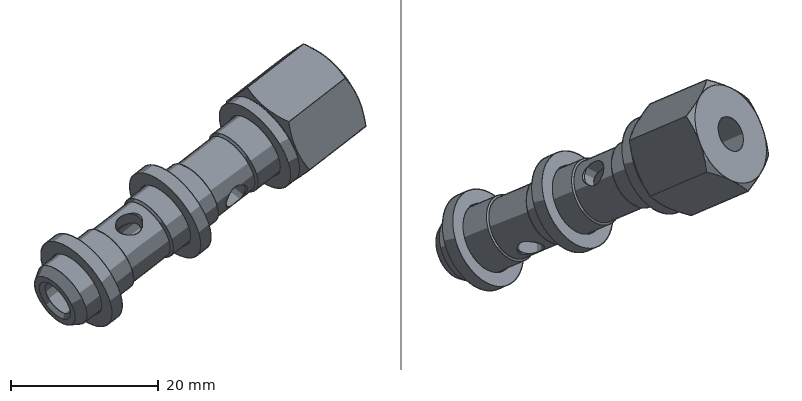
import cadquery as cq
import math

total_length = 51.5

across_flats = 14.0
head_length = 12.05
corner_bevel_angle = 30.0
under_head_face_radius = 6.75

shank_radius = 4.8
tip_radius = 3.95
tip_chamfer_length = 1.45

groove_radius = 4.5
groove_width = 7.45
tip_side_shoulder_length = 0.15
groove_centers = (21.55, 37.5)
side_hole_angle = 90.0
top_hole_angle = 0.0
cross_hole_radius = 1.8
countersink_radius = 2.0

bore_radius = 2.45
bore_mouth_radius = 3.05
bore_mouth_depth = 0.55

washer_outer_radius = 6.95
washer_inner_radius = 4.95
head_washer_thickness = 1.7
loose_washer_thickness = 1.95
loose_washer_centers = (29.7, 46.45)

head_face_y = total_length / 2
corner_radius = across_flats / math.sqrt(3)
bevel_slope = math.tan(math.radians(corner_bevel_angle))
head_side_shoulder_length = shank_radius - groove_radius
countersink_depth = countersink_radius - cross_hole_radius


def y_at(station):
    """Y position of a station measured from the free face of the head."""
    return head_face_y - station


def turned(profile):
    """Solid of revolution about Y from (radius, station) points."""
    points = [(radius, y_at(station)) for radius, station in profile]
    return cq.Workplane("XY").polyline(points).close().revolve(360, (0, 0), (0, 1))


def make_head():
    """Hexagon with two corners on the X axis, bevelled at both ends."""
    hexagon = (
        cq.Workplane("XZ", origin=(0, y_at(0), 0))
        .polygon(6, 2 * corner_radius)
        .extrude(head_length)
    )
    free_face_radius = across_flats / 2
    free_bevel = (corner_radius - free_face_radius) * bevel_slope
    under_bevel = (corner_radius - under_head_face_radius) * bevel_slope
    envelope = turned([
        (0, 0),
        (free_face_radius, 0),
        (corner_radius, free_bevel),
        (corner_radius, head_length - under_bevel),
        (under_head_face_radius, head_length),
        (0, head_length),
    ])
    return hexagon.intersect(envelope)


def make_shank():
    """Turned shank with two relief grooves and a chamfered tip."""
    profile = [(0, head_length), (shank_radius, head_length)]
    for center in groove_centers:
        start = center - groove_width / 2
        end = center + groove_width / 2
        profile += [
            (shank_radius, start),
            (groove_radius, start + head_side_shoulder_length),
            (groove_radius, end - tip_side_shoulder_length),
            (shank_radius, end),
        ]
    profile += [
        (shank_radius, total_length - tip_chamfer_length),
        (tip_radius, total_length),
        (0, total_length),
    ]
    return turned(profile)


def make_bore():
    """Through bore, flared at the tip."""
    return turned([
        (0, 0),
        (bore_radius, 0),
        (bore_radius, total_length - bore_mouth_depth),
        (bore_mouth_radius, total_length),
        (0, total_length),
    ])


def make_cross_hole(station, angle):
    """Hole across the shank, countersunk at both mouths: along Z at 0 degrees, along X at 90."""
    outer_cone_radius = countersink_radius + shank_radius - groove_radius
    countersink_bottom = groove_radius - countersink_depth
    half_hole = (
        cq.Workplane("XZ")
        .polyline([
            (0, 0),
            (cross_hole_radius, 0),
            (cross_hole_radius, countersink_bottom),
            (outer_cone_radius, shank_radius),
            (0, shank_radius),
        ])
        .close()
        .revolve(360, (0, 0), (0, 1))
    )
    hole = half_hole.union(half_hole.mirror("XY"))
    return hole.rotate((0, 0, 0), (0, 1, 0), angle).translate((0, y_at(station), 0))


def make_bolt():
    bolt = make_head().union(make_shank()).cut(make_bore())
    for station, angle in zip(groove_centers, (side_hole_angle, top_hole_angle)):
        bolt = bolt.cut(make_cross_hole(station, angle))
    return bolt


def make_washer(start, thickness):
    """Flat ring around the shank."""
    return (
        cq.Workplane("XZ", origin=(0, y_at(start), 0))
        .circle(washer_outer_radius)
        .circle(washer_inner_radius)
        .extrude(thickness)
    )


bolt = make_bolt()

washer_places = [(head_length, head_washer_thickness)]
for center in loose_washer_centers:
    washer_places.append((center - loose_washer_thickness / 2, loose_washer_thickness))
washers = [make_washer(start, thickness) for start, thickness in washer_places]

result = cq.Compound.makeCompound([bolt.val(), *[washer.val() for washer in washers]])